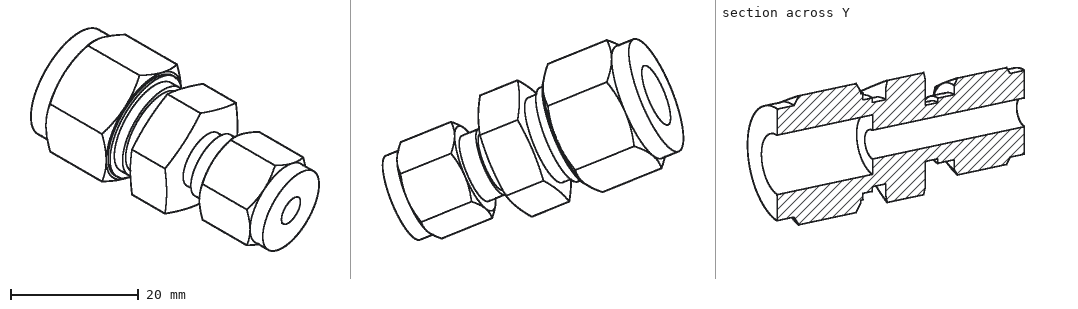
import cadquery as cq
import math

total_length = 44.5

large_nut_start = 3.03
large_nut_end = 15.1
washer_face_end = 15.5
large_shoulder_end = 17.15
body_hex_start = 19.5
body_hex_end = 26.75
neck_end = 28.9
small_nut_start = 31.8
small_nut_end = 41.95

large_nut_flats = 19.0
body_hex_flats = 18.0
small_nut_flats = 14.3

washer_face_diameter = 18.1
large_shoulder_diameter = 15.95
large_thread_diameter = 14.37
neck_diameter = 9.6
small_shoulder_diameter = 11.12

nut_chamfer_angle = 30.0
body_chamfer_angle = 13.0

tube_socket_diameter = 10.0
tube_socket_depth = large_shoulder_end
through_bore_diameter = 4.8


def cylinder(start, end, diameter):
    """Solid round stretch between two stations on the axis."""
    return cq.Workplane("YZ", origin=(start, 0, 0)).circle(diameter / 2).extrude(end - start)


def chamfered_hexagon(start, end, flats, chamfer_angle):
    """Hexagon with corners up and down, turned conically at both end faces."""
    corner_radius = flats / math.sqrt(3)
    corners = []
    for index in range(6):
        angle = math.radians(90 + 60 * index)
        corners.append((corner_radius * math.cos(angle), corner_radius * math.sin(angle)))
    prism = cq.Workplane("YZ", origin=(start, 0, 0)).polyline(corners).close().extrude(end - start)

    rim_radius = flats / 2
    chamfer_length = (corner_radius - rim_radius) * math.tan(math.radians(chamfer_angle))
    turned_envelope = (
        cq.Workplane("XY")
        .moveTo(start, 0)
        .lineTo(start, rim_radius)
        .lineTo(start + chamfer_length, corner_radius)
        .lineTo(end - chamfer_length, corner_radius)
        .lineTo(end, rim_radius)
        .lineTo(end, 0)
        .close()
        .revolve(360, (0, 0, 0), (1, 0, 0))
    )
    return prism.intersect(turned_envelope)


round_stretches = [
    (0, large_nut_start, large_nut_flats),
    (large_nut_end, washer_face_end, washer_face_diameter),
    (washer_face_end, large_shoulder_end, large_shoulder_diameter),
    (large_shoulder_end, body_hex_start, large_thread_diameter),
    (body_hex_end, neck_end, neck_diameter),
    (neck_end, small_nut_start, small_shoulder_diameter),
    (small_nut_end, total_length, small_nut_flats),
]
hexagons = [
    (large_nut_start, large_nut_end, large_nut_flats, nut_chamfer_angle),
    (body_hex_start, body_hex_end, body_hex_flats, body_chamfer_angle),
    (small_nut_start, small_nut_end, small_nut_flats, nut_chamfer_angle),
]

fitting = cq.Workplane("YZ")
for start, end, diameter in round_stretches:
    fitting = fitting.union(cylinder(start, end, diameter))
for start, end, flats, chamfer_angle in hexagons:
    fitting = fitting.union(chamfered_hexagon(start, end, flats, chamfer_angle))

fitting = fitting.cut(cylinder(0, tube_socket_depth, tube_socket_diameter))
fitting = fitting.cut(cylinder(0, total_length, through_bore_diameter))

result = fitting